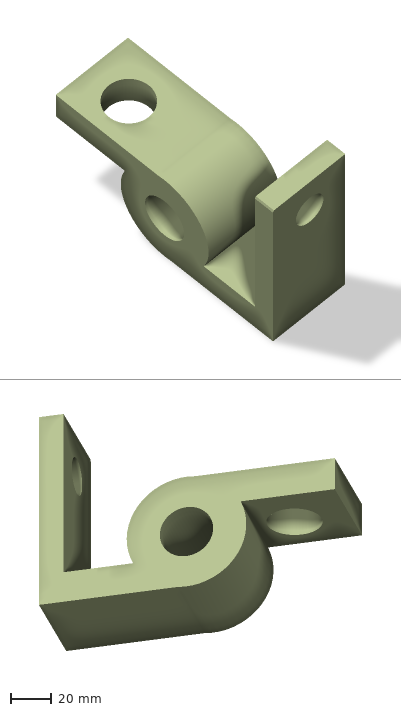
import cadquery as cq

length = 152.47
width = 50.8
height = 105.89

barrel_radius = 30.83
barrel_bore = 27.46
barrel_from_left_end = 76.43
barrel_proud = 0.34

arm_thickness = 17.45
arm_hole = 28.08
arm_hole_from_end = 28.5
arm_hole_y = -2.6

base_thickness = 16.6

upright_thickness = 12.7
upright_hole = 19.43
upright_hole_from_top = 22.4
upright_hole_y = 0.39

bevel_depth = 0.65
bevel_height = 1.3

left_end = -barrel_from_left_end
right_end = left_end + length
front_face = -width / 2
barrel_bottom = -barrel_radius
upright_left = right_end - upright_thickness
upright_top = barrel_bottom + height
arm_top = barrel_radius - barrel_proud
arm_bottom = arm_top - arm_thickness
base_bottom = barrel_bottom + barrel_proud
base_top = base_bottom + base_thickness


def plate(x_start, x_end, z_bottom, z_top):
    """Full-width rectangular plate between the given X and Z limits."""
    size_x = x_end - x_start
    size_z = z_top - z_bottom
    corner = (x_start, front_face, z_bottom)
    return cq.Workplane("XY").box(size_x, width, size_z, centered=False).translate(corner)


def barrel_cylinder(diameter):
    """Full-width cylinder on the barrel axis."""
    return cq.Workplane("XZ").circle(diameter / 2).extrude(width / 2, both=True)


def arm_hole_cutter():
    """Vertical cylinder through the arm."""
    center = (left_end + arm_hole_from_end, arm_hole_y)
    cutter = cq.Workplane("XY", origin=(0, 0, arm_bottom))
    return cutter.center(*center).circle(arm_hole / 2).extrude(arm_thickness)


def upright_hole_cutter():
    """Cylinder along X through the upright."""
    center = (upright_hole_y, upright_top - upright_hole_from_top)
    cutter = cq.Workplane("YZ", origin=(upright_left, 0, 0))
    return cutter.center(*center).circle(upright_hole / 2).extrude(upright_thickness)


def bevel_cutter():
    """Triangular prism that bevels the top front edge of the upright."""
    corners = [
        (front_face, upright_top),
        (front_face + bevel_depth, upright_top),
        (front_face, upright_top - bevel_height),
    ]
    cutter = cq.Workplane("YZ", origin=(upright_left, 0, 0))
    return cutter.polyline(corners).close().extrude(upright_thickness)


arm = plate(left_end, 0, arm_bottom, arm_top)
base = plate(0, right_end, base_bottom, base_top)
upright = plate(upright_left, right_end, base_bottom, upright_top)

result = (
    barrel_cylinder(2 * barrel_radius)
    .union(arm)
    .union(base)
    .union(upright)
    .cut(barrel_cylinder(barrel_bore))
    .cut(arm_hole_cutter())
    .cut(upright_hole_cutter())
    .cut(bevel_cutter())
)